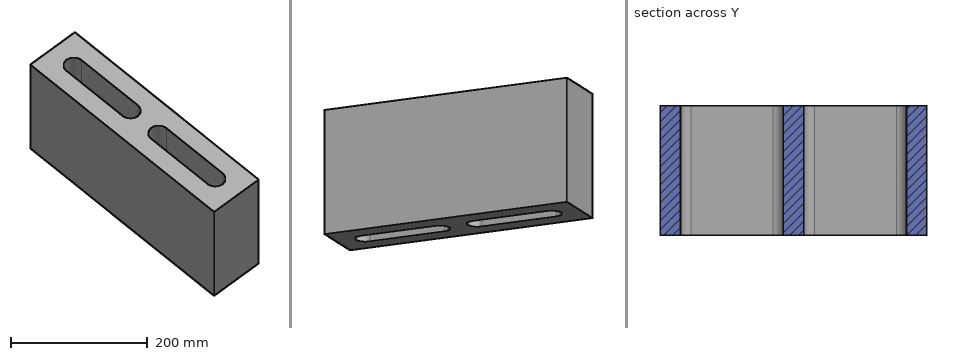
import cadquery as cq

length = 390.0
height = 190.0
wall = 30.0
depth = 3 * wall

slot_count = 2
slot_width = wall
slot_length = (length - (slot_count + 1) * wall) / slot_count
slot_pitch = slot_length + wall

block = cq.Workplane("XY").box(length, depth, height)

result = (
    block.faces(">Z")
    .workplane()
    .rarray(slot_pitch, 4, slot_count, 1)
    .slot2D(slot_length, slot_width)
    .cutThruAll()
)